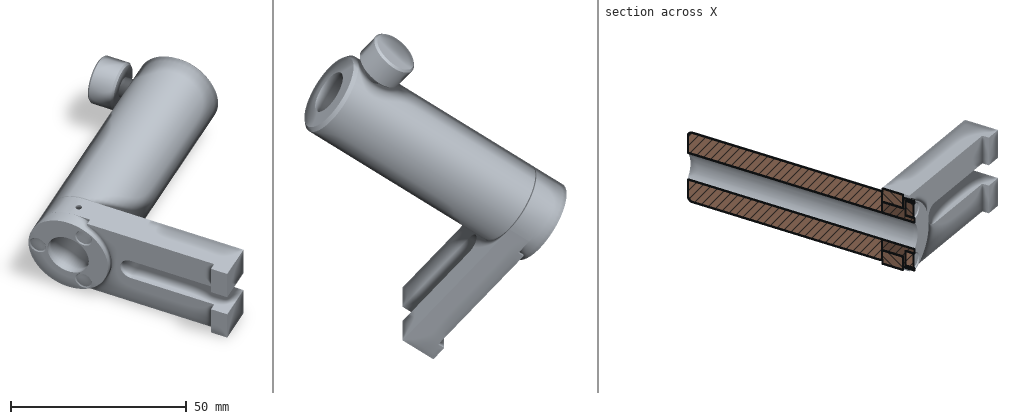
import cadquery as cq


BODY_R = 12.5
BODY_HEIGHT = 2 * BODY_R
BORE_R = 6.5

TUBE_LENGTH = 65.0
TUBE_REAR_CHAMFER = 1.0
TUBE_FRONT_CHAMFER = 0.4

HUB_THICKNESS = 7.0
BAR_THICKNESS = 8.9
BAR_START_X = 5.1
FLANGE_RECESS_R = 12.8
ARM_END_X = 50.0
LUG_WIDTH = 5.1
LUG_HEIGHT = 2.15
SLOT_WIDTH = 6.7
SLOT_START_X = 15.5
SIDE_HOLE_R = 0.9
SIDE_HOLE_Y = -3.7

FLANGE_THICKNESS = 3.85
FLANGE_FRONT_Y = -HUB_THICKNESS - FLANGE_THICKNESS
SLEEVE_R = 9.25

MAGNET_COUNT = 3
MAGNET_R = 2.3
MAGNET_PITCH_R = 9.55
POCKET_CHAMFER = 0.3
POCKET_DEPTH = 3.0

KNOB_OUTER_X = -22.95
KNOB_R = 7.2
KNOB_LENGTH = 8.0
KNOB_CHAMFER = 0.6
KNOB_INNER_X = KNOB_OUTER_X + KNOB_LENGTH
SHANK_R = 3.0
SHANK_END_X = -7.6
TIP_R = 0.8
TIP_END_X = -5.85
SCREW_Y = TUBE_LENGTH - 6.25


def disc(radius, front_y, rear_y):
    """Cylinder on the bore axis between two Y positions."""
    return cq.Workplane("XZ", origin=(0, rear_y, 0)).circle(radius).extrude(rear_y - front_y)


def slab(start_x, end_x, front_y, rear_y):
    """Block as tall as the body, between two X and two Y positions."""
    size = (end_x - start_x, rear_y - front_y, BODY_HEIGHT)
    return cq.Workplane("XY").box(*size, centered=(False, False, True)).translate((start_x, front_y, 0))


def screw_rod(radius, start_x, end_x):
    """Cylinder on the thumb screw's axis between two X positions."""
    return cq.Workplane("YZ", origin=(start_x, SCREW_Y, 0)).circle(radius).extrude(end_x - start_x)


def at_magnet_positions(solid):
    """Copies of a solid from the bore axis, spread evenly round the flange, the first toward -X."""
    first = solid.translate((-MAGNET_PITCH_R, 0, 0))
    step = 360 / MAGNET_COUNT
    return [first.rotate((0, 0, 0), (0, 1, 0), step * i) for i in range(MAGNET_COUNT)]


def make_screw_stem():
    """Shank with a thinner tip that reaches into the bore."""
    shank = screw_rod(SHANK_R, KNOB_INNER_X, SHANK_END_X)
    return shank.union(screw_rod(TIP_R, SHANK_END_X, TIP_END_X))


def make_thumb_screw():
    knob = screw_rod(KNOB_R, KNOB_OUTER_X, KNOB_INNER_X)
    knob = knob.faces("<X or >X").chamfer(KNOB_CHAMFER)
    return knob.union(make_screw_stem())


def make_tube():
    tube = disc(BODY_R, 0, TUBE_LENGTH)
    tube = tube.faces(">Y").chamfer(TUBE_REAR_CHAMFER)
    tube = tube.faces("<Y").chamfer(TUBE_FRONT_CHAMFER)
    return tube.cut(disc(BORE_R, 0, TUBE_LENGTH)).cut(make_screw_stem())


def make_slot():
    """Open-ended slot with a round inner end."""
    radius = SLOT_WIDTH / 2
    arc_center_x = SLOT_START_X + radius
    return (
        cq.Workplane("XZ")
        .moveTo(ARM_END_X, radius)
        .lineTo(arc_center_x, radius)
        .threePointArc((SLOT_START_X, 0), (arc_center_x, -radius))
        .lineTo(ARM_END_X, -radius)
        .close()
        .extrude(BAR_THICKNESS + LUG_HEIGHT)
    )


def make_arm():
    arm = disc(BODY_R, -HUB_THICKNESS, 0)
    arm = arm.union(slab(0, ARM_END_X, -HUB_THICKNESS, 0))

    thickening = slab(BAR_START_X, ARM_END_X, -BAR_THICKNESS, -HUB_THICKNESS)
    arm = arm.union(thickening.cut(disc(FLANGE_RECESS_R, -BAR_THICKNESS, -HUB_THICKNESS)))

    lug = slab(ARM_END_X - LUG_WIDTH, ARM_END_X, -BAR_THICKNESS - LUG_HEIGHT, -BAR_THICKNESS)
    arm = arm.union(lug).cut(make_slot())

    side_hole = cq.Workplane("XY", origin=(0, SIDE_HOLE_Y, 0)).circle(SIDE_HOLE_R).extrude(BODY_R)
    return arm.cut(disc(SLEEVE_R, -HUB_THICKNESS, 0)).cut(side_hole)


def make_pocket():
    """Magnet pocket with a chamfered mouth."""
    mouth_r = MAGNET_R + POCKET_CHAMFER
    mouth = cq.Workplane(cq.Solid.makeCone(
        mouth_r, MAGNET_R, POCKET_CHAMFER, cq.Vector(0, FLANGE_FRONT_Y, 0), cq.Vector(0, 1, 0)
    ))
    return mouth.union(disc(MAGNET_R, FLANGE_FRONT_Y, FLANGE_FRONT_Y + POCKET_DEPTH))


def make_bushing():
    flange = disc(BODY_R, FLANGE_FRONT_Y, -HUB_THICKNESS)
    bushing = flange.union(disc(SLEEVE_R, -HUB_THICKNESS, 0)).cut(disc(BORE_R, FLANGE_FRONT_Y, 0))
    for pocket in at_magnet_positions(make_pocket()):
        bushing = bushing.cut(pocket)
    return bushing


def make_magnet():
    """Magnet that fills its pocket up to the chamfer."""
    return disc(MAGNET_R, FLANGE_FRONT_Y + POCKET_CHAMFER, FLANGE_FRONT_Y + POCKET_DEPTH)


tube = make_tube()
arm = make_arm()
bushing = make_bushing()
thumb_screw = make_thumb_screw()
magnets = at_magnet_positions(make_magnet())

result = cq.Compound.makeCompound(
    [tube.val(), arm.val(), bushing.val(), thumb_screw.val(), *[magnet.val() for magnet in magnets]]
)